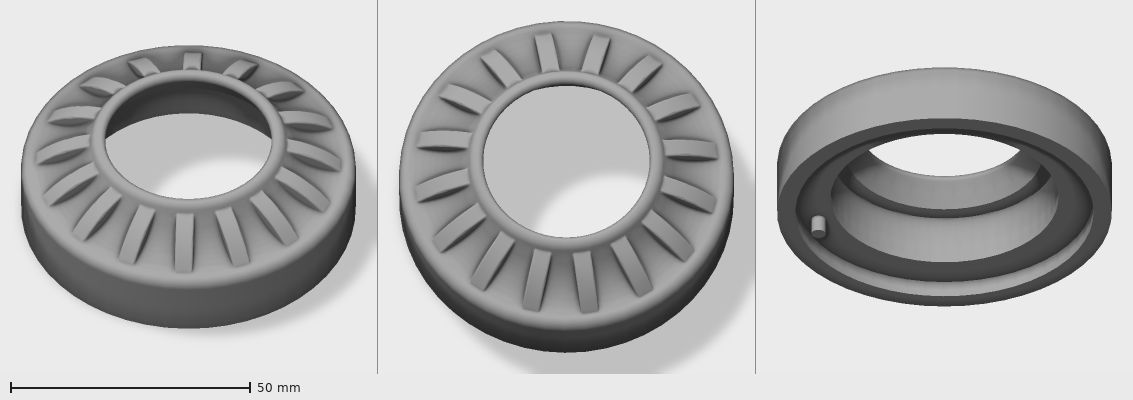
import cadquery as cq
import math

outer_radius = 35.0
total_height = 21.53
hole_radius = 17.4

rim_height = 13.77
rim_round = 2.0
flare_radius = 12.0
collar_crest_radius = 18.55
collar_outer_round = 2.0
collar_inner_round = collar_crest_radius - hole_radius

recess_radius = 62.4 / 2
recess_depth = 3.6
bore_radius = 47.7 / 2
ceiling_height = 14.7
cone_base_radius = 20.5

rib_count = 16
rib_start_angle = 8.6
rib_width = 3.8
rib_inner_end = (20.45, 19.85)
rib_crown = (26.55, 17.75)
rib_outer_end = (32.3, 13.4)
rib_root_radius = 24.5
rib_edge_round = 0.45
rib_base_round = 0.45

pin_diameter = 3.0
pin_angle = 37.5
pin_overlap = 1.0
pin_orbit = (recess_radius + bore_radius) / 2

rim_center = (outer_radius - rim_round, rim_height - rim_round)
collar_center = (collar_crest_radius, total_height - collar_outer_round)
hole_edge_center = (collar_crest_radius, total_height - collar_inner_round)


def polar(center, radius, degrees):
    """Point at a given distance and direction from a center."""
    angle = math.radians(degrees)
    return (center[0] + radius * math.cos(angle), center[1] + radius * math.sin(angle))


def direction(start, end):
    """Direction from one point to another, in degrees."""
    return math.degrees(math.atan2(end[1] - start[1], end[0] - start[0]))


def find_flare_center():
    """Center of the flare arc that touches the rim and collar rounds from outside."""
    rim_reach = flare_radius + rim_round
    collar_reach = flare_radius + collar_outer_round
    span = math.dist(rim_center, collar_center)
    cosine = (rim_reach**2 + span**2 - collar_reach**2) / (2 * rim_reach * span)
    turn = math.degrees(math.acos(cosine))
    return polar(rim_center, rim_reach, direction(rim_center, collar_center) - turn)


def make_ring():
    """Revolved shell with the rim, flare, collar and hollow underside."""
    flare_center = find_flare_center()
    rim_end = direction(rim_center, flare_center)
    collar_end = direction(collar_center, flare_center)
    flare_middle = (rim_end + collar_end) / 2 + 180

    cone_base = (cone_base_radius, ceiling_height)
    tangent_turn = math.degrees(math.acos(collar_inner_round / math.dist(hole_edge_center, cone_base)))
    cone_end = direction(hole_edge_center, cone_base) - tangent_turn + 360

    profile = (
        cq.Workplane("XZ")
        .moveTo(recess_radius, 0)
        .lineTo(outer_radius, 0)
        .lineTo(*polar(rim_center, rim_round, 0))
        .threePointArc(polar(rim_center, rim_round, rim_end / 2), polar(rim_center, rim_round, rim_end))
        .threePointArc(
            polar(flare_center, flare_radius, flare_middle),
            polar(collar_center, collar_outer_round, collar_end),
        )
        .threePointArc(
            polar(collar_center, collar_outer_round, (collar_end + 90) / 2),
            (collar_crest_radius, total_height),
        )
        .threePointArc(
            polar(hole_edge_center, collar_inner_round, (90 + cone_end) / 2),
            polar(hole_edge_center, collar_inner_round, cone_end),
        )
        .lineTo(*cone_base)
        .lineTo(bore_radius, ceiling_height)
        .lineTo(bore_radius, recess_depth)
        .lineTo(recess_radius, recess_depth)
        .close()
    )
    return profile.revolve(360, (0, 0, 0), (0, 1, 0))


def make_rib():
    """Rib along +X with a convex crown and rounded long edges."""
    return (
        cq.Workplane("XZ")
        .moveTo(*rib_inner_end)
        .threePointArc(rib_crown, rib_outer_end)
        .lineTo(rib_root_radius, rib_outer_end[1])
        .close()
        .extrude(rib_width / 2, both=True)
        .edges("%CIRCLE")
        .fillet(rib_edge_round)
    )


def add_ribs(body):
    """Join the ring of ribs to the flare and round their feet."""
    rib = make_rib()
    for index in range(rib_count):
        angle = rib_start_angle + index * 360 / rib_count
        body = body.union(rib.rotate((0, 0, 0), (0, 0, 1), angle))
    flare_face = max(body.faces("%TORUS").vals(), key=lambda face: len(face.innerWires()))
    foot_edges = [edge for wire in flare_face.innerWires() for edge in wire.Edges()]
    return body.newObject(foot_edges).fillet(rib_base_round)


def make_pin():
    """Pin that hangs from the recess ledge to the bottom plane."""
    angle = math.radians(pin_angle)
    return (
        cq.Workplane("XY")
        .center(pin_orbit * math.cos(angle), pin_orbit * math.sin(angle))
        .circle(pin_diameter / 2)
        .extrude(recess_depth + pin_overlap)
    )


result = add_ribs(make_ring()).union(make_pin())